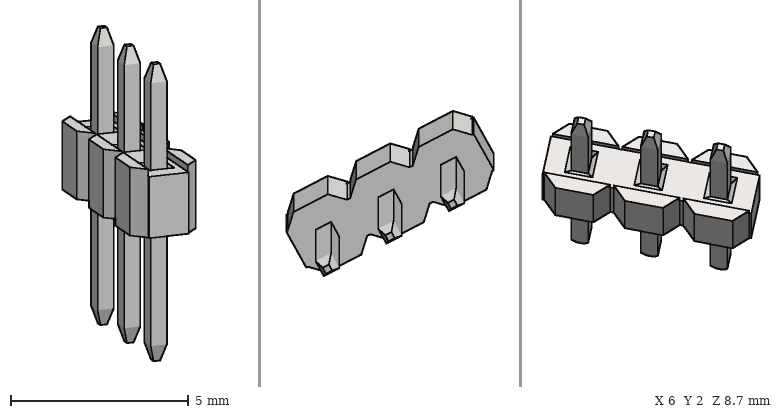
import cadquery as cq

pin_count = 3
pitch = 2.0
pin_width = 0.5
tip_width = 0.2
tip_length = 0.5
pin_length = 8.7
pin_below_body = 3.9

body_depth = pitch
bar_depth = 1.2
bar_height = 1.8
cheek_height = 2.0
cheek_root_width = 1.9
cheek_flat_width = cheek_root_width - (body_depth - bar_depth)

funnel_width = 0.8
funnel_depth = (funnel_width - pin_width) / 2

body_length = pin_count * pitch
pin_positions = [(i - (pin_count - 1) / 2) * pitch for i in range(pin_count)]


def square_frustum(x, z_start, start_width, z_end, end_width):
    """Square frustum centred on x, tapering between two heights."""
    return (
        cq.Workplane("XY", origin=(x, 0, z_start))
        .rect(start_width, start_width)
        .workplane(offset=z_end - z_start)
        .rect(end_width, end_width)
        .loft(ruled=True)
    )


def make_bar():
    """Central bar of the body, resting on the Z = 0 plane."""
    return cq.Workplane("XY").box(body_length, bar_depth, bar_height, centered=(True, True, False))


def make_cheek(x, side):
    """Trapezoidal cheek beside one pin; side is +1 or -1 along Y."""
    root_y = side * bar_depth / 2
    flat_y = side * body_depth / 2
    outline = [
        (x - cheek_root_width / 2, root_y),
        (x + cheek_root_width / 2, root_y),
        (x + cheek_flat_width / 2, flat_y),
        (x - cheek_flat_width / 2, flat_y),
    ]
    return cq.Workplane("XY").polyline(outline).close().extrude(cheek_height)


def make_pin(x):
    """Square pin with a tapered tip at each end."""
    bottom = -pin_below_body
    top = bottom + pin_length
    shank_bottom = bottom + tip_length
    shank_top = top - tip_length
    shank = square_frustum(x, shank_bottom, pin_width, shank_top, pin_width)
    lower_tip = square_frustum(x, shank_bottom, pin_width, bottom, tip_width)
    upper_tip = square_frustum(x, shank_top, pin_width, top, tip_width)
    return shank.union(lower_tip).union(upper_tip)


def make_funnel(x):
    """Lead-in recess narrowing from the top of the bar down to the pin."""
    return square_frustum(x, bar_height, funnel_width, bar_height - funnel_depth, pin_width)


result = make_bar()
for pin_x in pin_positions:
    for cheek_side in (-1, 1):
        result = result.union(make_cheek(pin_x, cheek_side))
    result = result.cut(make_funnel(pin_x))
    result = result.union(make_pin(pin_x))